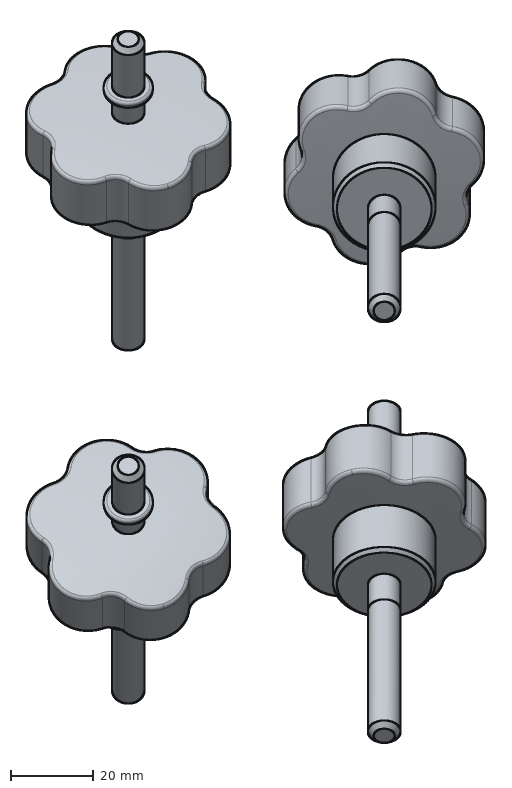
import cadquery as cq
import math

TOTAL_HEIGHT = 109.0
ROD_JOINT_Z = 41.6
HUB_BOTTOM_Z = 50.1
GRIP_BOTTOM_Z = 64.9
GRIP_CROWN_Z = 83.0
RING_BOTTOM_Z = 90.4

ROD_DIAMETER = 8.0
ROD_CHAMFER = 1.4

RING_DIAMETER = 12.0
RING_THICKNESS = 2.0
RING_FILLET = 0.8

HUB_DIAMETER = 25.0
HUB_CHAMFER = 1.0

LOBE_COUNT = 6
GRIP_DIAMETER = 49.9
LOBE_RADIUS = 9.5
VALLEY_RADIUS = 5.0
CROWN_SAG = 1.9
UNDERSIDE_SAG = 0.7
GRIP_FILLET = 1.0
DOME_OVERSIZE = 1.2

GRIP_RADIUS = GRIP_DIAMETER / 2
ROD_RADIUS = ROD_DIAMETER / 2
LOBE_PITCH = 2 * math.pi / LOBE_COUNT
LOBE_CENTRE_RADIUS = GRIP_RADIUS - LOBE_RADIUS


def polar(radius, angle):
    """X and Y of a point at a radius and an angle in radians from +X."""
    return (radius * math.cos(angle), radius * math.sin(angle))


def lobed_outline():
    """Closed wire of lobe arcs joined by tangent valley arcs, with one lobe on +X."""
    half_pitch = LOBE_PITCH / 2
    half_gap = LOBE_CENTRE_RADIUS * math.sin(half_pitch)
    lobe_reach = LOBE_CENTRE_RADIUS * math.cos(half_pitch)
    centre_distance = LOBE_RADIUS + VALLEY_RADIUS
    valley_centre_radius = lobe_reach + math.sqrt(centre_distance**2 - half_gap**2)
    valley_floor_radius = valley_centre_radius - VALLEY_RADIUS

    lobe_share = LOBE_RADIUS / centre_distance
    valley_x, valley_y = polar(valley_centre_radius, half_pitch)
    tangent_x = LOBE_CENTRE_RADIUS + lobe_share * (valley_x - LOBE_CENTRE_RADIUS)
    tangent_y = lobe_share * valley_y
    tangent_radius = math.hypot(tangent_x, tangent_y)
    tangent_angle = math.atan2(tangent_y, tangent_x)

    outline = cq.Workplane("XY").moveTo(*polar(tangent_radius, -tangent_angle))
    for index in range(LOBE_COUNT):
        lobe_angle = index * LOBE_PITCH
        next_angle = lobe_angle + LOBE_PITCH
        outline = outline.threePointArc(
            polar(GRIP_RADIUS, lobe_angle),
            polar(tangent_radius, lobe_angle + tangent_angle),
        )
        outline = outline.threePointArc(
            polar(valley_floor_radius, lobe_angle + half_pitch),
            polar(tangent_radius, next_angle - tangent_angle),
        )
    return outline.close()


def domed_disc():
    """Disc wider than the grip, bulging to the crown above and slightly below."""
    rim_radius = DOME_OVERSIZE * GRIP_RADIUS
    rim_top = GRIP_CROWN_Z - CROWN_SAG * DOME_OVERSIZE**2
    rim_bottom = GRIP_BOTTOM_Z + UNDERSIDE_SAG * DOME_OVERSIZE**2
    half_section = (
        cq.Workplane("XZ")
        .moveTo(0, GRIP_BOTTOM_Z)
        .threePointArc((GRIP_RADIUS, GRIP_BOTTOM_Z + UNDERSIDE_SAG), (rim_radius, rim_bottom))
        .lineTo(rim_radius, rim_top)
        .threePointArc((GRIP_RADIUS, GRIP_CROWN_Z - CROWN_SAG), (0, GRIP_CROWN_Z))
        .close()
    )
    return half_section.revolve(360, (0, 0, 0), (0, 1, 0))


def make_knob():
    """Lobed grip and round hub in one piece, bored through for the rod."""
    grip = lobed_outline().extrude(TOTAL_HEIGHT).intersect(domed_disc())
    grip = grip.edges("not |Z").fillet(GRIP_FILLET)
    hub_height = (GRIP_BOTTOM_Z + GRIP_CROWN_Z) / 2 - HUB_BOTTOM_Z
    hub = (
        cq.Workplane("XY", origin=(0, 0, HUB_BOTTOM_Z))
        .circle(HUB_DIAMETER / 2)
        .extrude(hub_height)
        .faces("<Z")
        .chamfer(HUB_CHAMFER)
    )
    bore = cq.Workplane("XY").circle(ROD_RADIUS).extrude(TOTAL_HEIGHT)
    return grip.union(hub).cut(bore)


def make_rod(bottom_z, top_z, chamfered_end):
    """Plain rod with a chamfer on the end picked by a face selector."""
    return (
        cq.Workplane("XY", origin=(0, 0, bottom_z))
        .circle(ROD_RADIUS)
        .extrude(top_z - bottom_z)
        .faces(chamfered_end)
        .chamfer(ROD_CHAMFER)
    )


def make_ring():
    """Rounded ring around the upper rod."""
    disc = (
        cq.Workplane("XY", origin=(0, 0, RING_BOTTOM_Z))
        .circle(RING_DIAMETER / 2)
        .extrude(RING_THICKNESS)
        .edges()
        .fillet(RING_FILLET)
    )
    return disc.faces(">Z").workplane().hole(ROD_DIAMETER)


knob = make_knob()
upper_rod = make_rod(ROD_JOINT_Z, TOTAL_HEIGHT, ">Z")
lower_rod = make_rod(0, ROD_JOINT_Z, "<Z")
ring = make_ring()

result = cq.Compound.makeCompound(
    [body.solids().val() for body in (knob, upper_rod, lower_rod, ring)]
)